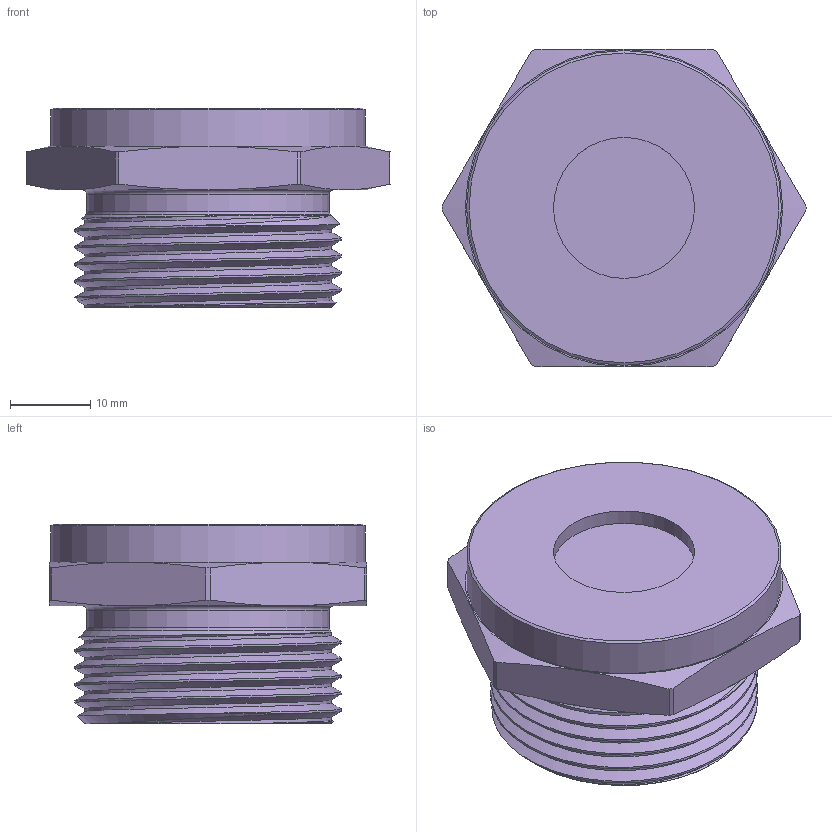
import cadquery as cq
import math

total_height = 24.89
hex_bottom = 14.72
hex_top = 20.15

head_radius = 19.65
head_chamfer_width = 0.3
head_chamfer_height = 0.2

across_flats = 39.62
corner_radius = 45.45 / 2
cone_start_radius = across_flats / 2
cone_drop = 0.71

neck_radius = 15.15
neck_bottom = 11.98
neck_fillet = 0.55

threads_per_inch = 12
pitch = 25.4 / threads_per_inch
major_radius = 33.3 / 2
root_radius = 15.4
flank_half_angle = 30.0
crest_flat = 0.26
crest_height_at_plus_x = 2.22

window_radius = 8.8
window_recess = 1.9


def turned_blank():
    """Head, hexagon envelope, neck and unthreaded shank as one turned shape."""
    end_chamfer = major_radius - root_radius
    fillet_mid = neck_fillet * (1 - math.sqrt(0.5))

    shoulder_top_radius = neck_radius + fillet_mid
    shoulder_top = neck_bottom - neck_fillet * math.sqrt(0.5)
    shoulder_bottom = shoulder_top - (major_radius - shoulder_top_radius)
    return (
        cq.Workplane("XZ")
        .moveTo(0, 0)
        .lineTo(root_radius, 0)
        .lineTo(major_radius, end_chamfer)
        .lineTo(major_radius, shoulder_bottom)
        .lineTo(shoulder_top_radius, shoulder_top)
        .tangentArcPoint((neck_radius, neck_bottom), relative=False)
        .lineTo(neck_radius, hex_bottom - neck_fillet)
        .threePointArc(
            (neck_radius + fillet_mid, hex_bottom - fillet_mid),
            (neck_radius + neck_fillet, hex_bottom),
        )
        .lineTo(cone_start_radius, hex_bottom)
        .lineTo(corner_radius, hex_bottom + cone_drop)
        .lineTo(corner_radius, hex_top - cone_drop)
        .lineTo(cone_start_radius, hex_top)
        .lineTo(head_radius, hex_top)
        .lineTo(head_radius, total_height - head_chamfer_height)
        .lineTo(head_radius - head_chamfer_width, total_height)
        .lineTo(0, total_height)
        .close()
        .revolve(360, (0, 0), (0, 1))
    )


def hexagonal_bar():
    """Hexagonal bar with two corners on the X axis, as long as the part."""
    across_corners = across_flats / math.cos(math.radians(30))
    return cq.Workplane("XY").polygon(6, across_corners).extrude(total_height)


def thread_groove():
    """Helical V groove with a flat root, running past both ends of the thread."""
    clearance = 0.1
    overrun = 0.6
    flank_slope = math.tan(math.radians(flank_half_angle))
    outer_radius = major_radius + clearance
    outer_half_width = (pitch - crest_flat) / 2 + clearance * flank_slope
    root_half_width = outer_half_width - (outer_radius - root_radius) * flank_slope

    start_height = crest_height_at_plus_x - 1.5 * pitch
    helix_height = neck_bottom + overrun - start_height
    helix = cq.Wire.makeHelix(pitch, helix_height, root_radius).translate(cq.Vector(0, 0, start_height))
    return (
        cq.Workplane("XZ")
        .polyline(
            [
                (root_radius, start_height - root_half_width),
                (outer_radius, start_height - outer_half_width),
                (outer_radius, start_height + outer_half_width),
                (root_radius, start_height + root_half_width),
            ]
        )
        .close()
        .sweep(cq.Workplane(obj=helix), isFrenet=True)
    )


def make_housing():
    """Hexagonal threaded housing with a bore along its axis for the window."""
    bore = cq.Workplane("XY").circle(window_radius).extrude(total_height)
    return turned_blank().intersect(hexagonal_bar()).cut(thread_groove()).cut(bore).solids()


def make_window():
    """Round sight window filling the bore, recessed below the head's face."""
    return cq.Workplane("XY").circle(window_radius).extrude(total_height - window_recess)


housing = make_housing()
window = make_window()

result = cq.Compound.makeCompound([housing.val(), window.val()])